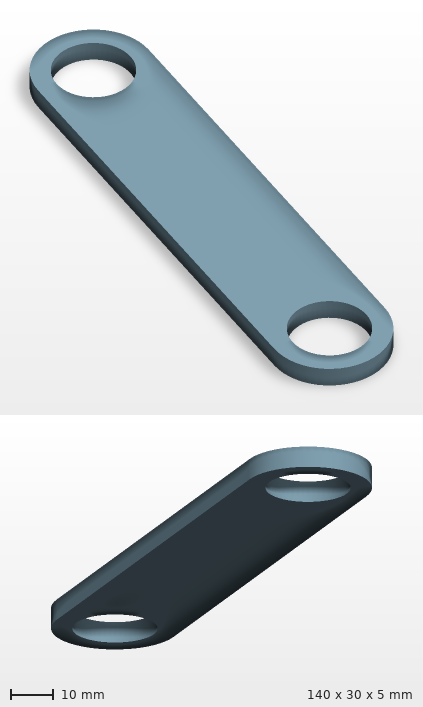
import cadquery as cq

length = 140.0
width = 30.0
thickness = 5.0
hole_diameter = 20.0

hole_spacing = length - width

plate = cq.Workplane("XY").slot2D(length, width).extrude(thickness)

hole_centres = [(-hole_spacing / 2, 0), (hole_spacing / 2, 0)]
result = plate.faces(">Z").workplane(origin=(0, 0, thickness)).pushPoints(hole_centres).hole(hole_diameter)